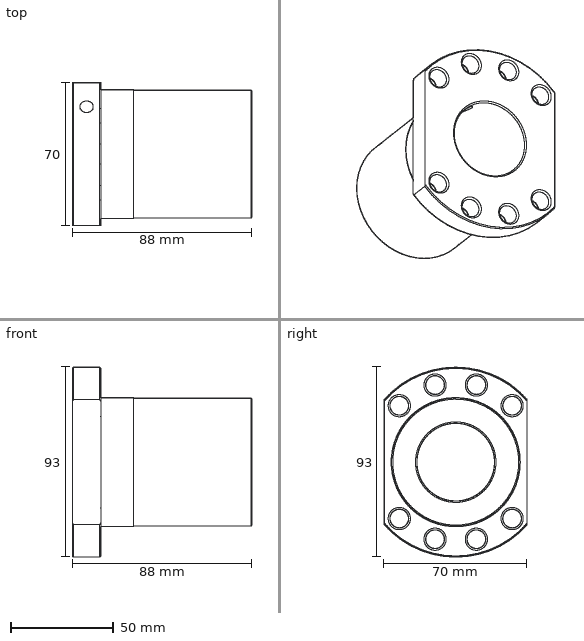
import cadquery as cq
import math

total_length = 88.0
flange_diameter = 93.0
flange_width = 70.0
flange_thickness = 13.95
flange_chamfer = 0.6

collar_diameter = 63.2
collar_end = 30.0
body_diameter = 62.8
body_chamfer = 0.6

bore_diameter = 37.9
bore_chamfer = 0.7

bolt_circle_radius = 39.1
bolt_angles = (45.0, 75.0)
bolt_hole_diameter = 9.0
bolt_hole_chamfer = 0.9

oil_hole_diameter = 6.5
oil_hole_angle = sum(bolt_angles) / len(bolt_angles)


def cylinder(start, end, diameter):
    """Solid cylinder on the part axis from x = start to x = end."""
    return cq.Workplane("YZ", origin=(start, 0, 0)).circle(diameter / 2).extrude(end - start)


def chamfered_hole(y, z, diameter, depth, chamfer):
    """Cutter along X with a 45 degree countersink at both ends."""
    radius = diameter / 2
    wide_radius = radius + chamfer
    profile = (
        cq.Workplane("XY")
        .moveTo(0, 0)
        .lineTo(0, wide_radius)
        .lineTo(chamfer, radius)
        .lineTo(depth - chamfer, radius)
        .lineTo(depth, wide_radius)
        .lineTo(depth, 0)
        .close()
    )
    return profile.revolve(360, (0, 0, 0), (1, 0, 0)).translate((0, y, z))


def make_flange():
    """Chamfered disc with two flat sides."""
    disc = cylinder(0, flange_thickness, flange_diameter).edges().chamfer(flange_chamfer)
    flats = cq.Workplane("XY").box(2 * flange_thickness, flange_width, flange_diameter)
    return disc.intersect(flats)


def make_barrel():
    """Collar and body, chamfered at the free end."""
    body = cylinder(0, total_length, body_diameter).faces(">X").edges().chamfer(body_chamfer)
    return body.union(cylinder(0, collar_end, collar_diameter))


def make_oil_hole():
    """Radial cutter from the bore out through the rim, at mid flange thickness."""
    angle = math.radians(oil_hole_angle)
    outward = cq.Vector(0, math.cos(angle), math.sin(angle))
    center = cq.Vector(flange_thickness / 2, 0, 0)
    return cq.Solid.makeCylinder(oil_hole_diameter / 2, flange_diameter, center, outward)


result = make_flange().union(make_barrel())
result = result.cut(chamfered_hole(0, 0, bore_diameter, total_length, bore_chamfer))

for bolt_angle in bolt_angles:
    bolt_y = bolt_circle_radius * math.cos(math.radians(bolt_angle))
    bolt_z = bolt_circle_radius * math.sin(math.radians(bolt_angle))
    for y_side in (-1, 1):
        for z_side in (-1, 1):
            hole = chamfered_hole(
                y_side * bolt_y, z_side * bolt_z, bolt_hole_diameter, flange_thickness, bolt_hole_chamfer
            )
            result = result.cut(hole)

result = result.cut(make_oil_hole())